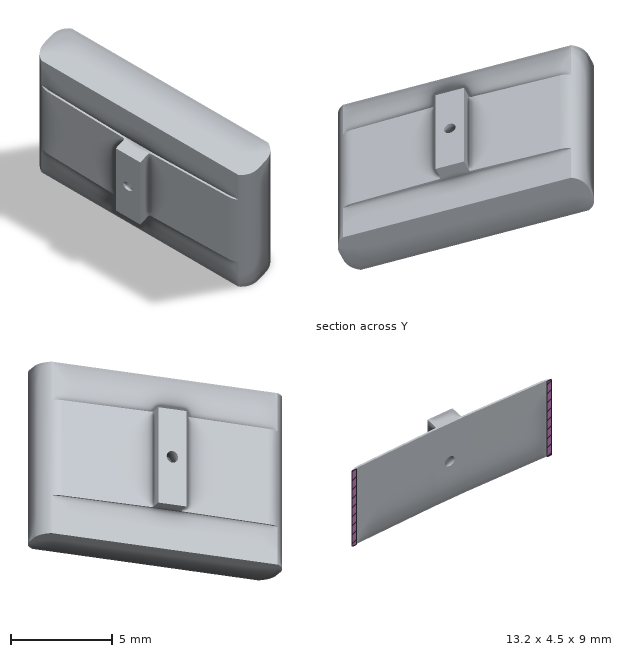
import cadquery as cq
import math

LENGTH = 13.18
HEIGHT = 9.0
CORE_THICKNESS = 2.5
END_FLAT_WIDTH = 0.6
END_RADIUS = 1.1

STRAP_HEIGHT = 5.01
STRAP_THICKNESS = 0.1
STRAP_SLOPE = math.radians(1.3)
STRAP_FLAT_WIDTH = 1.91

OUTER_DEPTH = 4.5
RIB_WIDTH = 1.5
RIB_ROOT_RADIUS = 0.1
HOLE_DIAMETER = 0.6

half_core = CORE_THICKNESS / 2
corner_x = LENGTH / 2 - END_RADIUS
corner_y = END_FLAT_WIDTH / 2
flat_x = STRAP_FLAT_WIDTH / 2


def bowed_profile(offset):
    """Symmetric outline lying the given offset inside the outer strap surface."""
    radius = END_RADIUS - offset
    end_x = corner_x + radius
    tangent_x = corner_x + radius * math.sin(STRAP_SLOPE)
    tangent_y = corner_y + radius * math.cos(STRAP_SLOPE)
    flat_y = tangent_y + (tangent_x - flat_x) * math.tan(STRAP_SLOPE)
    middle_angle = math.pi / 4 - STRAP_SLOPE / 2
    middle_x = corner_x + radius * math.cos(middle_angle)
    middle_y = corner_y + radius * math.sin(middle_angle)
    return (
        cq.Workplane("XY")
        .moveTo(end_x, -corner_y)
        .lineTo(end_x, corner_y)
        .threePointArc((middle_x, middle_y), (tangent_x, tangent_y))
        .lineTo(flat_x, flat_y)
        .lineTo(-flat_x, flat_y)
        .lineTo(-tangent_x, tangent_y)
        .threePointArc((-middle_x, middle_y), (-end_x, corner_y))
        .lineTo(-end_x, -corner_y)
        .threePointArc((-middle_x, -middle_y), (-tangent_x, -tangent_y))
        .lineTo(-flat_x, -flat_y)
        .lineTo(flat_x, -flat_y)
        .lineTo(tangent_x, -tangent_y)
        .threePointArc((middle_x, -middle_y), (end_x, -corner_y))
        .close()
    )


def bowed_body(height, offset=0.0):
    return bowed_profile(offset).extrude(height / 2, both=True)


def make_core():
    slab = cq.Workplane("XY").box(LENGTH, CORE_THICKNESS, HEIGHT)
    return bowed_body(HEIGHT).intersect(slab)


def make_ribbed_straps():
    """Closed ring carrying both ribs, filleted where they meet the straps."""
    ribs = cq.Workplane("XY").box(RIB_WIDTH, OUTER_DEPTH, STRAP_HEIGHT)
    band = bowed_body(STRAP_HEIGHT).union(ribs)
    half_rib = RIB_WIDTH / 2
    root_zone = cq.selectors.BoxSelector(
        (-half_rib - RIB_ROOT_RADIUS, -OUTER_DEPTH / 2 + RIB_ROOT_RADIUS, -STRAP_HEIGHT),
        (half_rib + RIB_ROOT_RADIUS, OUTER_DEPTH / 2 - RIB_ROOT_RADIUS, STRAP_HEIGHT),
    )
    band = band.edges("|Z").edges(root_zone).fillet(RIB_ROOT_RADIUS)
    return band.cut(bowed_body(STRAP_HEIGHT, STRAP_THICKNESS))


hole = cq.Workplane("XZ").circle(HOLE_DIAMETER / 2).extrude(OUTER_DEPTH / 2, both=True)
straps = make_ribbed_straps().cut(hole)

result = make_core().union(straps)